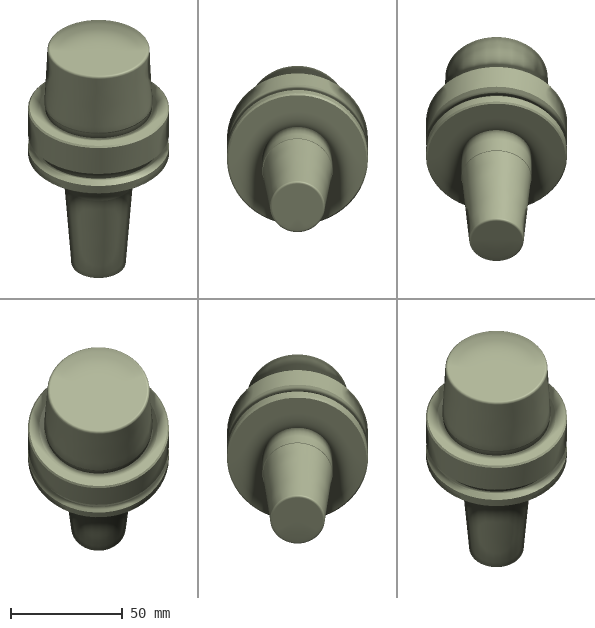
import cadquery as cq
import math

total_height = 116.9
flange_top = 85.0
flange_bottom = 59.0
groove_top = 70.3
groove_bottom = 63.7
shank_cone_top = 44.7
taper_base = 87.5
neck_top = 86.9

flange_radius = 63.0 / 2
groove_radius = 27.6
taper_top_radius = 22.8
taper_base_radius = 24.2
neck_radius = 23.8
recess_radius = 26.4
recess_floor_radius = 24.4
shank_radius = 15.7
shank_cone_radius = 15.4
tip_radius = 12.2

flange_chamfer = 0.7
groove_lip_width = 2.3
groove_lip_height = groove_lip_width * math.tan(math.radians(30))
recess_depth = 0.6
taper_fillet = 1.2
tip_fillet = 0.9


def revolve_profile(points):
    """Revolve a (radius, height) outline about the Z axis."""
    return cq.Workplane("XZ").polyline(points).close().revolve(360, (0, 0), (0, 1))


def make_shank():
    """Straight collar above a slender cone with a rounded tip."""
    shank = revolve_profile([
        (0, 0),
        (tip_radius, 0),
        (shank_cone_radius, shank_cone_top),
        (shank_radius, shank_cone_top),
        (shank_radius, flange_bottom),
        (0, flange_bottom),
    ])
    return shank.faces("<Z").edges().fillet(tip_fillet)


def make_flange():
    """Chamfered flange with a gripper groove and a shallow dished recess in its top face."""
    lip_radius = flange_radius - groove_lip_width
    face_radius = flange_radius - flange_chamfer
    return revolve_profile([
        (0, flange_bottom),
        (face_radius, flange_bottom),
        (flange_radius, flange_bottom + flange_chamfer),
        (flange_radius, groove_bottom),
        (lip_radius, groove_bottom + groove_lip_height),
        (groove_radius, groove_bottom + groove_lip_height),
        (groove_radius, groove_top - groove_lip_height),
        (lip_radius, groove_top - groove_lip_height),
        (flange_radius, groove_top),
        (flange_radius, flange_top - flange_chamfer),
        (face_radius, flange_top),
        (recess_radius, flange_top),
        (recess_floor_radius, flange_top - recess_depth),
        (0, flange_top - recess_depth),
    ])


def make_taper():
    """Upper taper with a rounded top edge, standing on a slightly narrower neck."""
    taper = revolve_profile([
        (0, flange_top - recess_depth),
        (neck_radius, flange_top - recess_depth),
        (neck_radius, neck_top),
        (taper_base_radius, taper_base),
        (taper_top_radius, total_height),
        (0, total_height),
    ])
    return taper.faces(">Z").edges().fillet(taper_fillet)


result = make_shank().union(make_flange()).union(make_taper())